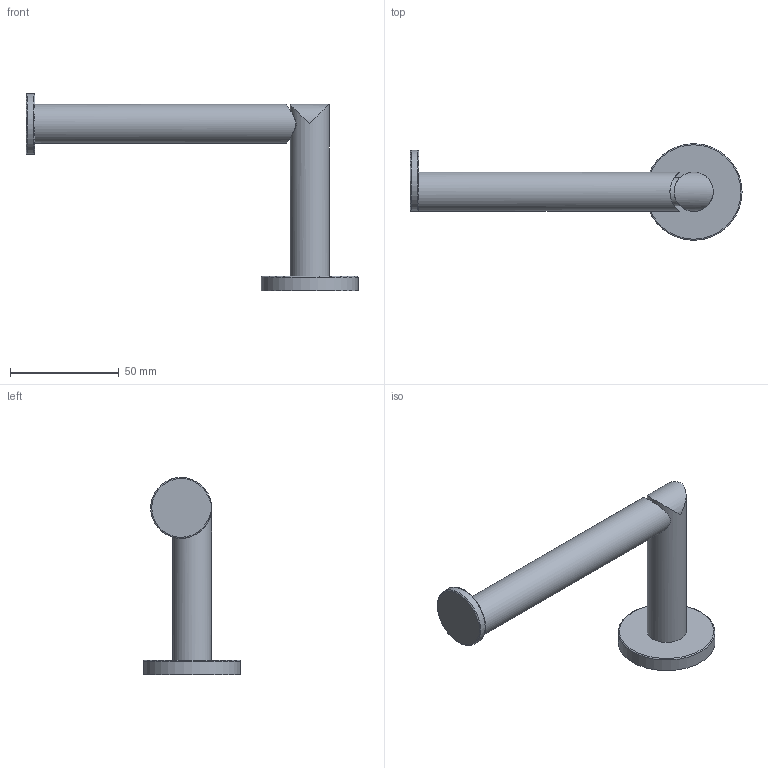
import cadquery as cq

overall_length = 152.66
overall_height = 90.6

base_diameter = 44.45
base_thickness = 6.5
base_edge_radius = 0.5

rod_diameter = 18.0
pin_diameter = 13.0
saddle_radius = 11.5
joint_gap = 1.9

disc_diameter = 28.0
disc_thickness = 4.0
disc_edge_radius = 0.5

arm_height = overall_height - disc_diameter / 2
arm_start_x = base_diameter / 2 - overall_length
saddle_center_x = saddle_radius - rod_diameter / 2 - joint_gap
disc_offset_y = (disc_diameter - rod_diameter) / 2


def rod_along_x(diameter, start_x, end_x, center_y=0.0):
    """Round rod parallel to X at the height of the arm axis."""
    return (
        cq.Workplane("YZ", origin=(start_x, center_y, arm_height))
        .circle(diameter / 2)
        .extrude(end_x - start_x)
    )


def rod_along_z(diameter, height):
    """Round rod standing on Z = 0, centred on the post axis."""
    return cq.Workplane("XY").circle(diameter / 2).extrude(height)


def make_base():
    """Round base plate with a softened upper rim."""
    return rod_along_z(base_diameter, base_thickness).faces(">Z").edges().fillet(base_edge_radius)


def make_post():
    """Vertical post whose top is rounded across Y to continue the arm's upper surface."""
    straight_part = rod_along_z(rod_diameter, arm_height)
    crown_blank = rod_along_z(rod_diameter, overall_height)
    crown = crown_blank.intersect(rod_along_x(rod_diameter, -rod_diameter, rod_diameter))
    return straight_part.union(crown)


def make_arm():
    """Horizontal arm with a saddle end that leaves a narrow gap in front of the post."""
    saddle_cutter = rod_along_z(2 * saddle_radius, overall_height).translate((saddle_center_x, 0, 0))
    return rod_along_x(rod_diameter, arm_start_x, 0).cut(saddle_cutter)


def make_pin():
    """Thinner pin that bridges the gap between the arm and the post."""
    return rod_along_x(pin_diameter, -rod_diameter, 0)


def make_end_disc():
    """Retaining disc at the free end of the arm, shifted towards +Y, with both rims softened."""
    disc = rod_along_x(disc_diameter, arm_start_x, arm_start_x + disc_thickness, disc_offset_y)
    return disc.faces("<X or >X").edges().fillet(disc_edge_radius)


result = make_base().union(make_post()).union(make_arm()).union(make_pin()).union(make_end_disc())